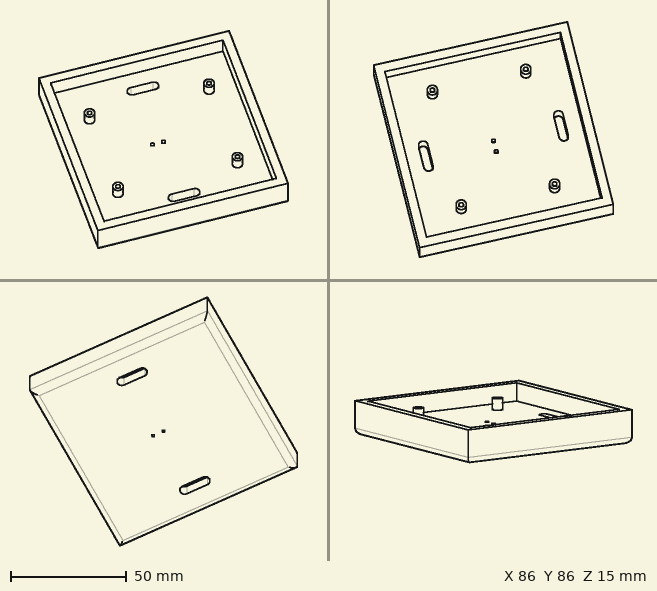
import cadquery as cq

side = 86.0
height = 15.0
wall = 4.0
cavity_depth = 8.0
floor_top = height - cavity_depth
bottom_edge_radius = 3.0

post_diameter = 4.5
post_height = 5.0
post_hole_diameter = 2.0
post_spacing_x = 41.45
post_spacing_y = 54.0

slot_width = 4.0
slot_length = 14.0
slot_spacing = 60.0

pin_hole_diameter = 1.6
pin_hole_lower_diameter = 1.0
pin_hole_step_depth = floor_top / 2
pin_hole_spacing = 5.0


def make_tray():
    """Square block with rounded bottom edges and an open cavity on top."""
    block = cq.Workplane("XY").box(side, side, height, centered=(True, True, False))
    block = block.faces("<Z").edges().fillet(bottom_edge_radius)
    cavity_side = side - 2 * wall
    return block.faces(">Z").workplane().rect(cavity_side, cavity_side).cutBlind(-cavity_depth)


def add_posts(body):
    """Four posts on the floor, each drilled from its top down to the floor."""
    floor = cq.Workplane("XY").workplane(offset=floor_top)
    centers = floor.rect(post_spacing_x, post_spacing_y, forConstruction=True).vertices()
    posts = centers.circle(post_diameter / 2).extrude(post_height)
    holes = centers.circle(post_hole_diameter / 2).extrude(post_height)
    return body.union(posts).cut(holes)


def cut_slots(body):
    """Two slots lengthwise along Y, mirrored about the YZ plane."""
    slots = (
        cq.Workplane("XY")
        .pushPoints([(-slot_spacing / 2, 0), (slot_spacing / 2, 0)])
        .slot2D(slot_length, slot_width, 90)
        .extrude(floor_top)
    )
    return body.cut(slots)


def cut_pin_holes(body):
    """Two holes through the floor, wider at the top than below."""
    centers = (
        cq.Workplane("XY")
        .workplane(offset=floor_top)
        .pushPoints([(0, 0), (0, -pin_hole_spacing)])
    )
    upper = centers.circle(pin_hole_diameter / 2).extrude(-pin_hole_step_depth)
    lower = centers.circle(pin_hole_lower_diameter / 2).extrude(-floor_top)
    return body.cut(upper).cut(lower)


result = make_tray()
result = add_posts(result)
result = cut_slots(result)
result = cut_pin_holes(result)